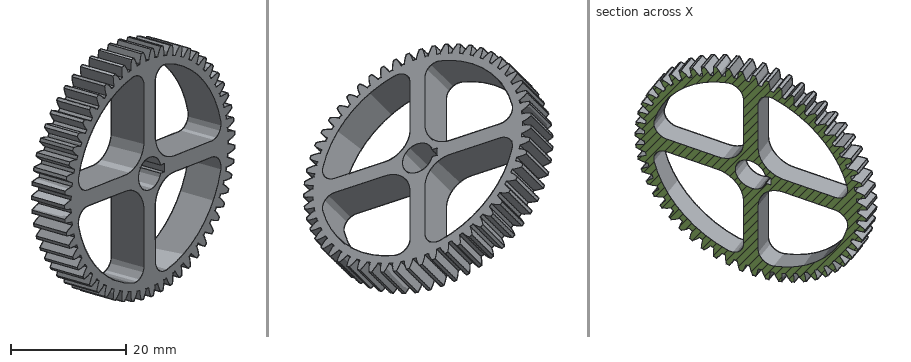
import cadquery as cq
import math

MODULE = 0.8
TOOTH_COUNT = 55
PRESSURE_ANGLE = math.radians(20)
ADDENDUM_FACTOR = 1.0
DEDENDUM_FACTOR = 1.25
FACE_WIDTH = 7.5

SPOKE_COUNT = 4
FULL_TURN = 360
SPOKE_WIDTH = 3.0
RIM_INNER_RADIUS = 19.5
RIM_FILLET = 2.5
HUB_FILLET = 5.0

BORE_RADIUS = 3.0
KEYWAY_WIDTH = 1.5
KEYWAY_REACH = 3.9

PITCH_RADIUS = MODULE * TOOTH_COUNT / 2
TIP_RADIUS = PITCH_RADIUS + ADDENDUM_FACTOR * MODULE
ROOT_RADIUS = PITCH_RADIUS - DEDENDUM_FACTOR * MODULE
BASE_RADIUS = PITCH_RADIUS * math.cos(PRESSURE_ANGLE)
PITCH_ANGLE = 2 * math.pi / TOOTH_COUNT
FIRST_TOOTH_ANGLE = math.pi
FLANK_STEPS = 4


def end_plane():
    """Workplane on the -X face, with local axes along Y and Z."""
    return cq.Workplane("YZ", origin=(-FACE_WIDTH / 2, 0, 0))


def polar(radius, angle):
    return (radius * math.cos(angle), radius * math.sin(angle))


def involute(pressure_angle):
    return math.tan(pressure_angle) - pressure_angle


def half_tooth_angle(radius):
    """Half the angle a tooth spans at a radius, with involute flanks."""
    local_pressure_angle = math.acos(BASE_RADIUS / radius)
    return PITCH_ANGLE / 4 + involute(PRESSURE_ANGLE) - involute(local_pressure_angle)


def flank(tooth_angle, side):
    """Points from root to tip on one flank; side is -1 or +1."""
    points = []
    for step in range(FLANK_STEPS + 1):
        radius = ROOT_RADIUS + (TIP_RADIUS - ROOT_RADIUS) * step / FLANK_STEPS
        points.append(polar(radius, tooth_angle + side * half_tooth_angle(radius)))
    return points


def make_toothed_disc():
    outline = end_plane()
    outline = outline.moveTo(*flank(FIRST_TOOTH_ANGLE, -1)[0])
    for tooth in range(TOOTH_COUNT):
        tooth_angle = FIRST_TOOTH_ANGLE + tooth * PITCH_ANGLE
        rising = flank(tooth_angle, -1)
        falling = flank(tooth_angle, 1)[::-1]
        next_root = flank(tooth_angle + PITCH_ANGLE, -1)[0]
        outline = outline.spline(rising[1:], includeCurrent=True)
        outline = outline.threePointArc(polar(TIP_RADIUS, tooth_angle), falling[0])
        outline = outline.spline(falling[1:], includeCurrent=True)
        root_middle = polar(ROOT_RADIUS, tooth_angle + PITCH_ANGLE / 2)
        outline = outline.threePointArc(root_middle, next_root)
    return outline.close().extrude(FACE_WIDTH)


def make_window():
    """Opening between two spokes, in the +Y +Z quadrant."""
    spoke_edge = SPOKE_WIDTH / 2
    rim_end = math.sqrt(RIM_INNER_RADIUS**2 - spoke_edge**2)
    window = (
        end_plane()
        .moveTo(spoke_edge, spoke_edge)
        .lineTo(rim_end, spoke_edge)
        .threePointArc(polar(RIM_INNER_RADIUS, math.pi / 4), (spoke_edge, rim_end))
        .close()
        .extrude(FACE_WIDTH)
    )
    hub_corner = cq.selectors.NearestToPointSelector((0, spoke_edge, spoke_edge))
    window = window.edges("|X").edges(hub_corner).fillet(HUB_FILLET)
    for across_diagonal in (cq.Vector(0, 1, -1), cq.Vector(0, -1, 1)):
        rim_corner = cq.selectors.DirectionMinMaxSelector(across_diagonal, True)
        window = window.edges(rim_corner).fillet(RIM_FILLET)
    return window


def cut_windows(body):
    window = make_window()
    for quarter in range(SPOKE_COUNT):
        body = body.cut(window.rotate((0, 0, 0), (1, 0, 0), quarter * FULL_TURN / SPOKE_COUNT))
    return body


def cut_bore(body):
    bore = end_plane().circle(BORE_RADIUS).extrude(FACE_WIDTH)
    keyway = cq.Workplane("XY").box(FACE_WIDTH, KEYWAY_REACH, KEYWAY_WIDTH)
    keyway = keyway.translate((0, KEYWAY_REACH / 2, 0))
    return body.cut(bore).cut(keyway)


result = cut_bore(cut_windows(make_toothed_disc()))